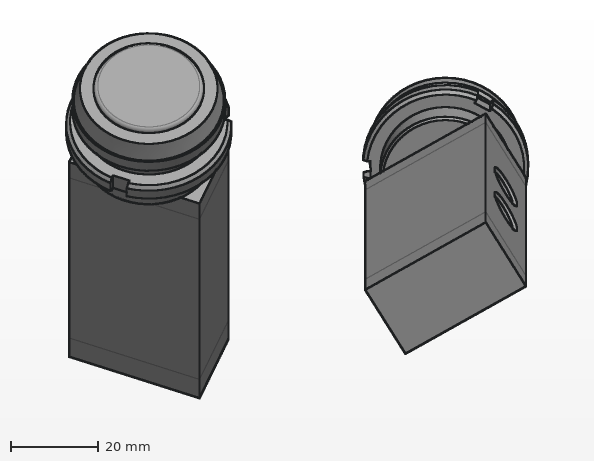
import cadquery as cq
import math

block_width = 32.1
block_depth = 18.1
block_height = 75.0
base_seam_height = 7.3
top_seam_height = 69.0

port_diameter = 8.7
port_mouth_diameter = 10.2
port_depth = 10.1
port_spacing = 17.1
lower_port_height = 29.6

total_height = 101.0
neck_diameter = 30.0
neck_chamfer = 0.6
rim_diameter = 35.0
rim_bottom = 91.1
rim_top = 95.4
rim_chamfer = 0.9
cone_base_diameter = 34.3
cone_top_diameter = 31.5
button_diameter = 25.4
button_height = 1.0

collar_diameter = 37.9
collar_bottom = 82.3
collar_top = 87.2
collar_chamfer = 0.9
notch_count = 3
notch_width = 4.0
notch_floor_radius = 17.2
first_notch_angle = -90.0


def make_port_cutter(height):
    """Blind bore with a 45 degree countersunk mouth, pointing along +X."""
    bore_radius = port_diameter / 2
    mouth_radius = port_mouth_diameter / 2
    countersink = mouth_radius - bore_radius
    profile = (
        cq.Workplane("XZ")
        .polyline([
            (0, 0),
            (0, mouth_radius),
            (countersink, bore_radius),
            (port_depth, bore_radius),
            (port_depth, 0),
        ])
        .close()
    )
    return profile.revolve(360, (0, 0), (1, 0)).translate((-block_width / 2, 0, height))


def make_block():
    """Three flush sections fused into one block, keeping the seams between them."""
    levels = [0, base_seam_height, top_seam_height, block_height]
    sections = [
        cq.Workplane("XY", origin=(0, 0, bottom))
        .rect(block_width, block_depth)
        .extrude(top - bottom)
        for bottom, top in zip(levels, levels[1:])
    ]
    block = sections[0]
    for section in sections[1:]:
        block = block.union(section, clean=False)
    for index in range(2):
        port = make_port_cutter(lower_port_height + index * port_spacing)
        block = block.cut(port, clean=False)
    return block


def make_collar():
    """Chamfered ring with evenly spaced notches in its outer edge."""
    collar = (
        cq.Workplane("XY", origin=(0, 0, collar_bottom))
        .circle(collar_diameter / 2)
        .extrude(collar_top - collar_bottom)
        .edges()
        .chamfer(collar_chamfer)
    )
    notch_length = collar_diameter / 2
    for index in range(notch_count):
        angle = first_notch_angle + index * 360 / notch_count
        notch = (
            cq.Workplane("XY", origin=(0, 0, collar_bottom))
            .center(notch_floor_radius + notch_length / 2, 0)
            .rect(notch_length, notch_width)
            .extrude(collar_top - collar_bottom)
            .rotate((0, 0, 0), (0, 0, 1), angle)
        )
        collar = collar.cut(notch)
    return collar


def make_head_core():
    """Turned neck, rim, tapered shoulder and rounded button on one axis."""
    neck_radius = neck_diameter / 2
    rim_radius = rim_diameter / 2
    button_radius = button_diameter / 2
    shoulder_height = total_height - button_height
    arc_offset = button_height * math.sqrt(0.5)
    return (
        cq.Workplane("XZ")
        .moveTo(0, block_height)
        .lineTo(neck_radius - neck_chamfer, block_height)
        .lineTo(neck_radius, block_height + neck_chamfer)
        .lineTo(neck_radius, rim_bottom)
        .lineTo(rim_radius - rim_chamfer, rim_bottom)
        .lineTo(rim_radius, rim_bottom + rim_chamfer)
        .lineTo(rim_radius, rim_top)
        .lineTo(cone_base_diameter / 2, rim_top)
        .lineTo(cone_top_diameter / 2, shoulder_height)
        .lineTo(button_radius, shoulder_height)
        .threePointArc(
            (button_radius - button_height + arc_offset, shoulder_height + arc_offset),
            (button_radius - button_height, total_height),
        )
        .lineTo(0, total_height)
        .close()
        .revolve(360, (0, 0), (0, 1))
    )


def make_head():
    return make_head_core().union(make_collar())


block = make_block()
head = make_head()

result = cq.Compound.makeCompound([block.solids().val(), head.solids().val()])